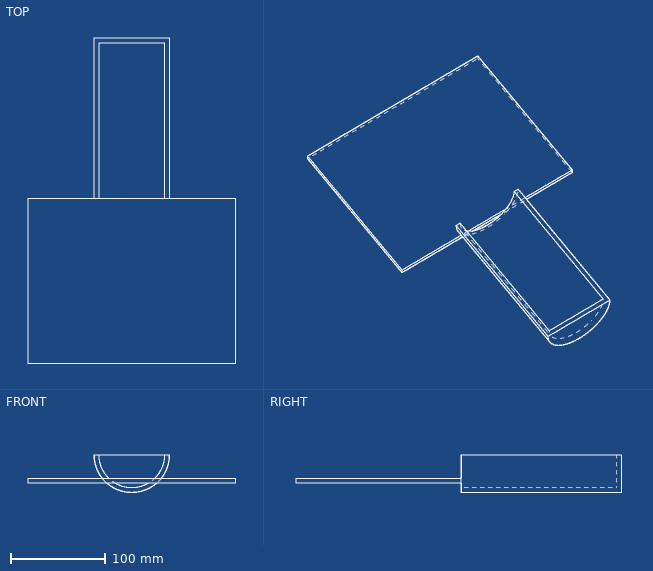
import cadquery as cq

total_length = 345.0
plate_width = 220.0
plate_length = 175.0
plate_thickness = 5.2
plate_drop = 25.0
trough_radius = 40.0
wall = 5.2

trough_length = total_length - plate_length
inner_radius = trough_radius - wall


def half_cylinder(radius, length):
    """Lower half of a cylinder along +Y, with its flat side at Z = 0."""
    return (
        cq.Workplane("XZ")
        .moveTo(-radius, 0)
        .threePointArc((0, -radius), (radius, 0))
        .close()
        .extrude(-length)
    )


trough = half_cylinder(trough_radius, trough_length).cut(
    half_cylinder(inner_radius, trough_length - wall)
)

plate = cq.Workplane("XY").box(
    plate_width, plate_length, plate_thickness, centered=(True, False, False)
).translate((0, -plate_length, -plate_drop - plate_thickness))

result = trough.union(plate)